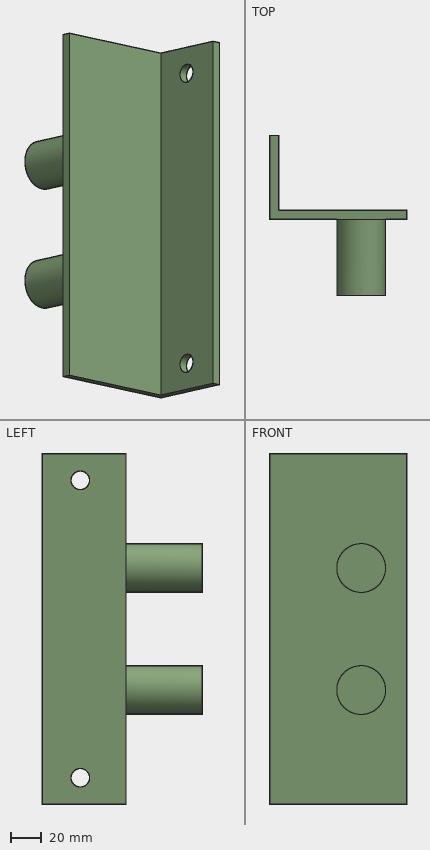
import cadquery as cq

plate_width = 90.0
leg_depth = 55.0
height = 230.0
thickness = 6.0

hole_diameter = 12.0
hole_spacing = 195.0
hole_from_leg_end = 25.0
hole_y = leg_depth - hole_from_leg_end

pin_diameter = 32.0
pin_length = 50.0
pin_spacing = 80.0
pin_x = 60.0

middle_z = height / 2


def spaced_pair(spacing):
    """Two heights placed evenly about the middle of the bracket."""
    return [middle_z - spacing / 2, middle_z + spacing / 2]


def make_bracket():
    """L-section bracket with its outer corner on the Z axis."""
    front_plate = cq.Workplane("XY").box(plate_width, thickness, height, centered=False)
    side_leg = cq.Workplane("XY").box(thickness, leg_depth, height, centered=False)
    hole_centres = [(hole_y, z) for z in spaced_pair(hole_spacing)]
    holes = (
        cq.Workplane("YZ")
        .pushPoints(hole_centres)
        .circle(hole_diameter / 2)
        .extrude(thickness)
    )
    return front_plate.union(side_leg).cut(holes)


def make_pin(z):
    """Pin projecting toward -Y from the front face at height z."""
    return (
        cq.Workplane("XZ")
        .center(pin_x, z)
        .circle(pin_diameter / 2)
        .extrude(pin_length)
    )


bracket = make_bracket()
pins = [make_pin(z) for z in spaced_pair(pin_spacing)]

result = cq.Compound.makeCompound([bracket.val(), *[pin.val() for pin in pins]])